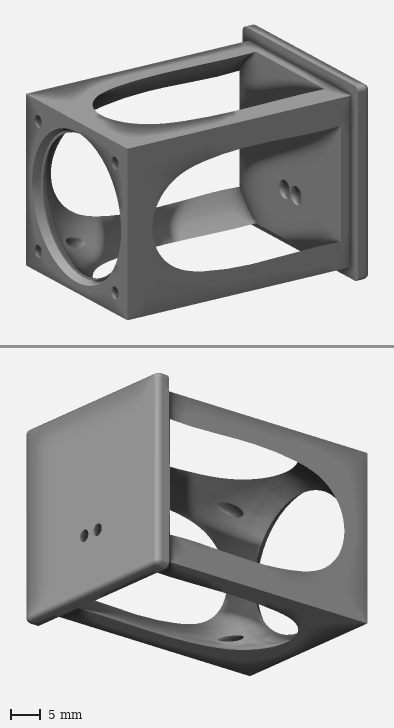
import cadquery as cq

total_length = 47.5
body_width = 30.8
flange_width = 35.0
flange_thickness = 2.5
flange_rounding = 1.0
back_wall = 4.5

seat_front_radius = 13.5
seat_back_radius = 13.0
seat_depth = 1.5
throat_radius = 12.5

cavity_end = total_length - back_wall
window_start = 5.05
cavity_max_radius = 18.7
cavity_end_radius = 18.6
cavity_curve = [
    (body_width / 2, window_start),
    (17.38, 9.8),
    (18.3, 15.5),
    (cavity_max_radius, 28.0),
    (cavity_end_radius, cavity_end),
]

screw_spacing = 23.3
screw_front_diameter = 2.2
screw_end_diameter = 1.8
screw_depth = 10.0

wire_spacing = 3.5
wire_height = -6.5
wire_inner_diameter = 3.3
wire_outer_diameter = 2.2


def tapered_hole(x, z, start, length, start_diameter, end_diameter):
    """Cone along +Y, beginning at Y = start."""
    return cq.Workplane(
        cq.Solid.makeCone(
            start_diameter / 2,
            end_diameter / 2,
            length,
            pnt=cq.Vector(x, start, z),
            dir=cq.Vector(0, 1, 0),
        )
    )


def make_body():
    body = cq.Workplane("XY").box(
        body_width, total_length - flange_rounding, body_width, centered=(True, False, True)
    )
    flange = (
        cq.Workplane("XY")
        .box(flange_width, flange_thickness, flange_width, centered=(True, False, True))
        .translate((0, total_length - flange_thickness, 0))
        .edges("|Y")
        .fillet(flange_rounding)
        .faces(">Y")
        .edges()
        .fillet(flange_rounding)
    )
    return body.union(flange)


def make_cavity():
    """Seat, ledge and bulb turned about the Y axis."""
    return (
        cq.Workplane("XY")
        .lineTo(seat_front_radius, 0)
        .lineTo(seat_back_radius, seat_depth)
        .lineTo(throat_radius, seat_depth)
        .spline(cavity_curve, includeCurrent=True)
        .lineTo(0, cavity_end)
        .close()
        .revolve(360, (0, 0, 0), (0, 1, 0))
    )


def cut_screw_holes(part):
    for x_side in (-1, 1):
        for z_side in (-1, 1):
            x = x_side * screw_spacing / 2
            z = z_side * screw_spacing / 2
            part = part.cut(
                tapered_hole(x, z, 0, screw_depth, screw_front_diameter, screw_end_diameter)
            )
    return part


def cut_wire_holes(part):
    for side in (-1, 1):
        x = side * wire_spacing / 2
        part = part.cut(
            tapered_hole(
                x, wire_height, cavity_end, back_wall, wire_inner_diameter, wire_outer_diameter
            )
        )
    return part


result = cut_wire_holes(cut_screw_holes(make_body().cut(make_cavity())))